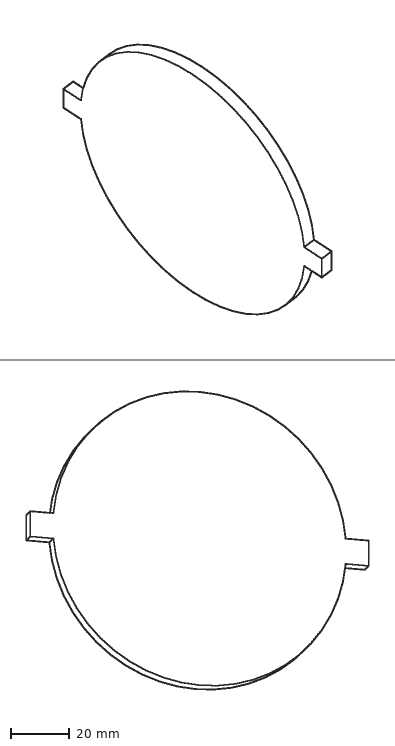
import cadquery as cq

overall_length = 121.0
disc_diameter = 104.9
thickness = 5.0
tab_height = 9.1

disc = cq.Workplane("XZ").circle(disc_diameter / 2).extrude(thickness / 2, both=True)

tab_bar = cq.Workplane("XY").box(overall_length, thickness, tab_height)

result = disc.union(tab_bar)